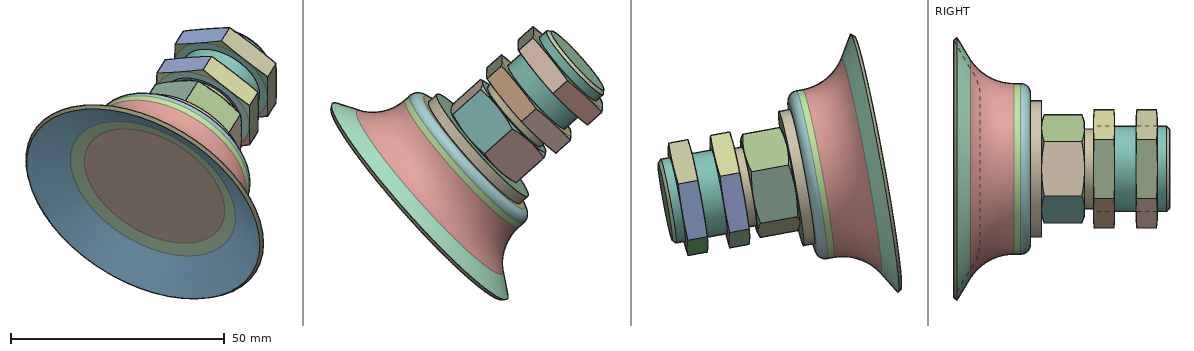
import cadquery as cq
import math


RIM_RADIUS = 30.75
RIM_FACE_RADIUS = 30.15
RIM_HEIGHT = 0.8
FLARE_RADIUS = 25.6
FLARE_HEIGHT = 3.95
CUP_RADIUS = 40.0 / 2
CUP_WALL_START = 14.15
CUP_TOP = 18.0
CUP_TOP_ROUND = 2.35
CAVITY_STEP_RADIUS = 21.35
CAVITY_STEP_HEIGHT = 5.3
CAVITY_FLOOR_RADIUS = 18.15
CAVITY_FLOOR_HEIGHT = 6.2

FLANGE_RADIUS = 32.0 / 2
FLANGE_THICKNESS = 2.6
HEX_ACROSS_FLATS = 22.0
HEX_HEIGHT = 10.0
HEX_BEVEL_HEIGHT = 0.6
NECK_RADIUS = 18.75 / 2
NECK_LENGTH = 2.1
STEM_RADIUS = 20.0 / 2
STEM_TOP = 50.6
STEM_CHAMFER = 0.8

NUT_COUNT = 2
NUT_ACROSS_FLATS = 24.0
NUT_THICKNESS = 5.0
NUT_BEVEL_HEIGHT = 0.2
NUT_PITCH = 2 * NUT_THICKNESS

HEX_BASE = CUP_TOP + FLANGE_THICKNESS
NECK_BASE = HEX_BASE + HEX_HEIGHT
STEM_BASE = NECK_BASE + NECK_LENGTH


def revolve_about_y(profile):
    """Close a profile drawn in (radius, Y) and turn it about the Y axis."""
    return profile.close().revolve(360, (0, 0, 0), (0, 1, 0))


def cylinder(radius, base, length):
    """Cylinder along +Y that starts at Y = base."""
    return revolve_about_y(
        cq.Workplane("XY").moveTo(0, base).lineTo(radius, base)
        .lineTo(radius, base + length).lineTo(0, base + length)
    )


def beveled_hexagon(across_flats, base, height, bevel_height):
    """Hexagonal prism along +Y, corners on Z, with conical bevels on both ends."""
    flat_radius = across_flats / 2
    corner_radius = flat_radius / math.cos(math.pi / 6)
    prism = (
        cq.Workplane("XZ", origin=(0, base, 0))
        .polygon(6, 2 * corner_radius)
        .extrude(-height)
        .rotate((0, 0, 0), (0, 1, 0), 30)
    )
    top = base + height
    bevel_envelope = revolve_about_y(
        cq.Workplane("XY").moveTo(0, base).lineTo(flat_radius, base)
        .lineTo(corner_radius, base + bevel_height)
        .lineTo(corner_radius, top - bevel_height)
        .lineTo(flat_radius, top).lineTo(0, top)
    )
    return prism.intersect(bevel_envelope)


def make_cup():
    """Bell-shaped cup with a shallow conical cavity."""
    round_middle = CUP_TOP_ROUND * math.sin(math.pi / 4)
    round_radius = CUP_RADIUS - CUP_TOP_ROUND
    round_base = CUP_TOP - CUP_TOP_ROUND
    return revolve_about_y(
        cq.Workplane("XY").moveTo(0, CAVITY_FLOOR_HEIGHT).lineTo(0, CUP_TOP)
        .lineTo(round_radius, CUP_TOP)
        .threePointArc((round_radius + round_middle, round_base + round_middle), (CUP_RADIUS, round_base))
        .lineTo(CUP_RADIUS, CUP_WALL_START)
        .tangentArcPoint((FLARE_RADIUS, FLARE_HEIGHT), relative=False)
        .lineTo(RIM_RADIUS, RIM_HEIGHT)
        .lineTo(RIM_FACE_RADIUS, 0)
        .lineTo(CAVITY_STEP_RADIUS, CAVITY_STEP_HEIGHT)
        .lineTo(CAVITY_FLOOR_RADIUS, CAVITY_FLOOR_HEIGHT)
    )


def make_fitting():
    """Flange, hexagon, neck and stem in one piece, seated on top of the cup."""
    flange = cylinder(FLANGE_RADIUS, CUP_TOP, FLANGE_THICKNESS)
    hexagon = beveled_hexagon(HEX_ACROSS_FLATS, HEX_BASE, HEX_HEIGHT, HEX_BEVEL_HEIGHT)
    neck = cylinder(NECK_RADIUS, NECK_BASE, NECK_LENGTH)
    stem = cylinder(STEM_RADIUS, STEM_BASE, STEM_TOP - STEM_BASE).faces(">Y").chamfer(STEM_CHAMFER)
    return flange.union(hexagon).union(neck).union(stem)


def make_nut(base):
    """Hexagonal nut whose bore fits the stem."""
    blank = beveled_hexagon(NUT_ACROSS_FLATS, base, NUT_THICKNESS, NUT_BEVEL_HEIGHT)
    return blank.cut(cylinder(STEM_RADIUS, base, NUT_THICKNESS))


cup = make_cup()
fitting = make_fitting()
nuts = [make_nut(STEM_BASE + index * NUT_PITCH) for index in range(NUT_COUNT)]

result = cq.Compound.makeCompound([cup.val(), fitting.val(), *[nut.val() for nut in nuts]])